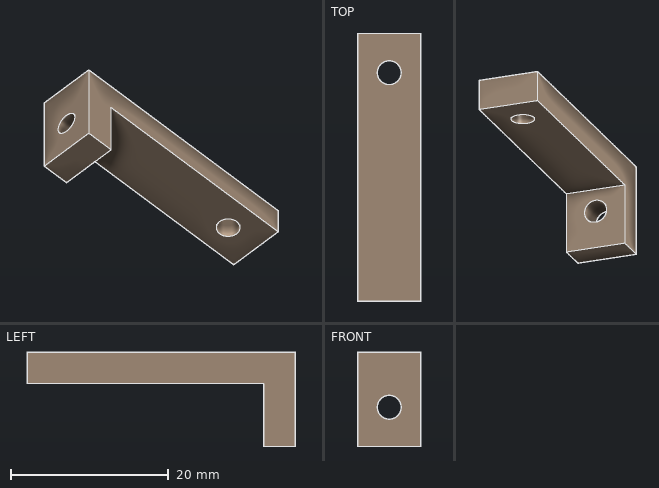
import cadquery as cq

length = 34.0
width = 8.0
height = 12.0
thickness = 4.0
hole_diameter = 3.0
hole_inset = 5.0


def bracket_body():
    """L-shaped body: a long arm on top and a short leg hanging at the -Y end."""
    arm = cq.Workplane("XY").box(width, length, thickness, centered=(True, False, False))
    arm = arm.translate((0, 0, height - thickness))
    leg = cq.Workplane("XY").box(width, thickness, height, centered=(True, False, False))
    return arm.union(leg)


def arm_hole():
    """Vertical hole through the arm near its free end."""
    return (
        cq.Workplane("XY")
        .center(0, length - hole_inset)
        .circle(hole_diameter / 2)
        .extrude(height)
    )


def leg_hole():
    """Horizontal hole through the leg near its free end."""
    return (
        cq.Workplane("XZ")
        .center(0, hole_inset)
        .circle(hole_diameter / 2)
        .extrude(-thickness)
    )


result = bracket_body().cut(arm_hole()).cut(leg_hole())